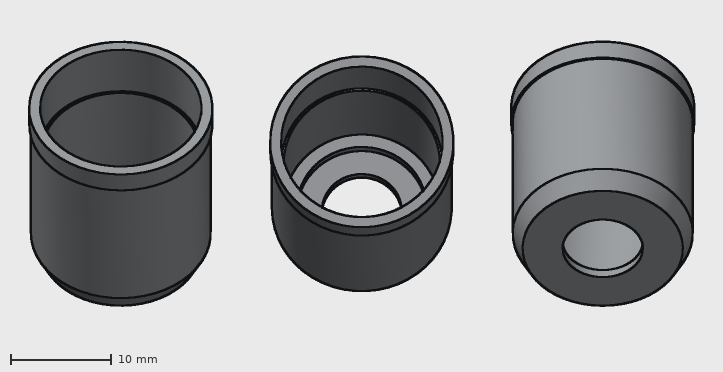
import cadquery as cq

height = 20.2
collar_diameter = 18.3
collar_height = 2.3
body_diameter = 17.98

nose_diameter = 16.0
nose_height = 2.15

mouth_diameter = 16.1
mouth_depth = 6.0
bore_diameter = 15.6
recess_diameter = 12.93
floor_thickness = 1.0
hole_diameter = 8.0


def cylinder(diameter, bottom, top):
    """Upright cylinder on the Z axis between two heights."""
    return cq.Workplane("XY").workplane(offset=bottom).circle(diameter / 2).extrude(top - bottom)


nose = (
    cq.Workplane("XY")
    .circle(nose_diameter / 2)
    .workplane(offset=nose_height)
    .circle(body_diameter / 2)
    .loft(ruled=True)
)
body = cylinder(body_diameter, nose_height, height)
collar = cylinder(collar_diameter, height - collar_height, height)
outside = nose.union(body).union(collar)

mouth = cylinder(mouth_diameter, height - mouth_depth, height)
bore = cylinder(bore_diameter, nose_height, height)
recess = cylinder(recess_diameter, floor_thickness, height)
hole = cylinder(hole_diameter, 0, height)

result = outside.cut(mouth).cut(bore).cut(recess).cut(hole)